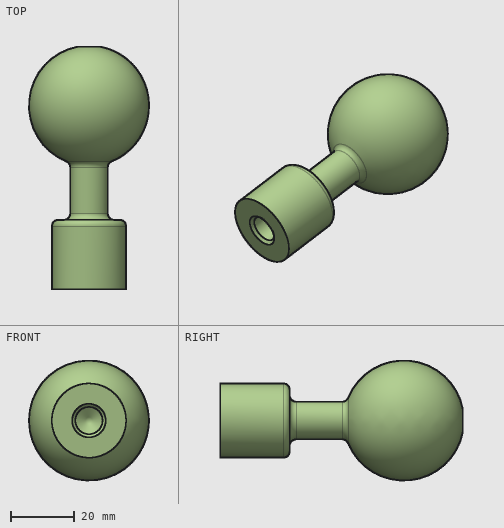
import cadquery as cq
import math

length = 76.6
ball_radius = 19.0
flat_radius = 3.7
neck_radius = 6.0
base_radius = 11.7
base_length = 22.0
blend_radius = 2.0

hole_radius = 4.3
hole_mouth_radius = 5.3
hole_depth = 15.0
drill_point_angle = 118.0

ball_centre = length - math.sqrt(ball_radius**2 - flat_radius**2)

blend_axis_radius = neck_radius + blend_radius
blend_reach = ball_radius + blend_radius
blend_centre = ball_centre - math.sqrt(blend_reach**2 - blend_axis_radius**2)


def quarter_arc_middle(centre_x, centre_y, side_x, side_y):
    """Midpoint of a quarter arc lying on the given diagonal side of its centre."""
    offset = blend_radius * math.sqrt(0.5)
    return (centre_x + side_x * offset, centre_y + side_y * offset)


def make_body():
    shoulder_centre = (base_radius - blend_radius, base_length - blend_radius)
    root_centre = (blend_axis_radius, base_length + blend_radius)

    contact_ratio = ball_radius / blend_reach
    ball_contact = (
        blend_axis_radius * contact_ratio,
        ball_centre + (blend_centre - ball_centre) * contact_ratio,
    )
    contact_angle = math.atan2(ball_contact[1] - blend_centre, ball_contact[0] - blend_axis_radius)
    middle_angle = (contact_angle + math.pi) / 2
    blend_middle = (
        blend_axis_radius + blend_radius * math.cos(middle_angle),
        blend_centre + blend_radius * math.sin(middle_angle),
    )

    return (
        cq.Workplane("XY")
        .lineTo(base_radius, 0)
        .lineTo(base_radius, shoulder_centre[1])
        .threePointArc(quarter_arc_middle(*shoulder_centre, 1, 1), (shoulder_centre[0], base_length))
        .lineTo(root_centre[0], base_length)
        .threePointArc(quarter_arc_middle(*root_centre, -1, -1), (neck_radius, root_centre[1]))
        .lineTo(neck_radius, blend_centre)
        .threePointArc(blend_middle, ball_contact)
        .threePointArc((ball_radius, ball_centre), (flat_radius, length))
        .lineTo(0, length)
        .close()
        .revolve(360, (0, 0), (0, 1))
    )


def make_hole():
    """Blind drilled hole with a 45 degree mouth chamfer and a conical bottom."""
    point_length = hole_radius / math.tan(math.radians(drill_point_angle / 2))
    return (
        cq.Workplane("XY")
        .lineTo(hole_mouth_radius, 0)
        .lineTo(hole_radius, hole_mouth_radius - hole_radius)
        .lineTo(hole_radius, hole_depth)
        .lineTo(0, hole_depth + point_length)
        .close()
        .revolve(360, (0, 0), (0, 1))
    )


result = make_body().cut(make_hole())